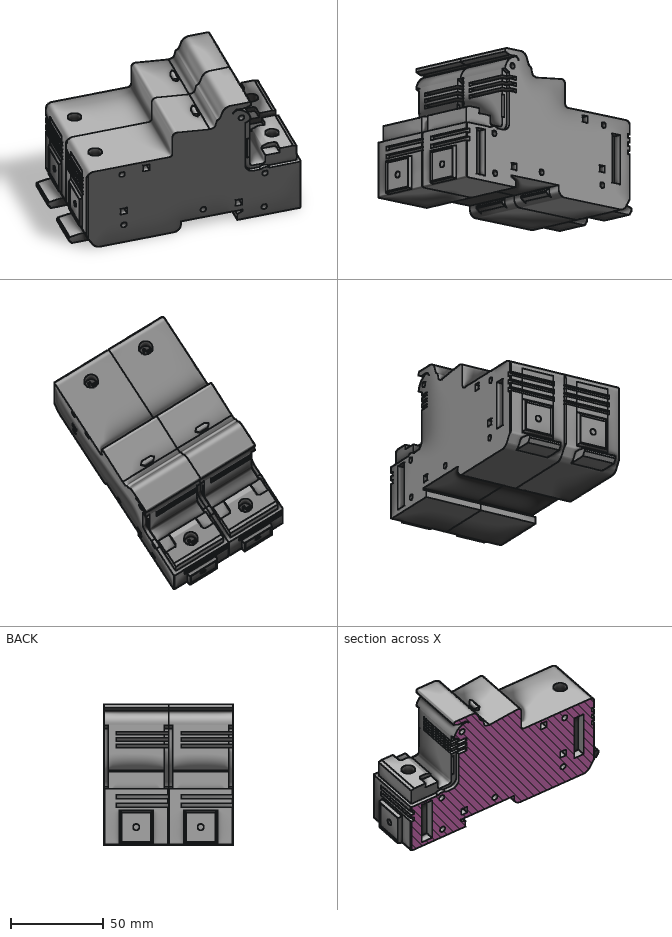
import cadquery as cq
import math


MODULE_COUNT = 2
MODULE_WIDTH = 35.0
HOUSING_DEPTH = 122.8
CENTRE_X = MODULE_WIDTH / 2

SHELF_TOP = 50.4
TOWER_FRONT = 49.1
TOWER_BACK = 94.2
HANDLE_TOP = 76.5
DRUM_BASE = 65.0
LEDGE_TOP = 30.6
RAIL_CEILING = 6.3

BLOCK_BACK = 120.9
BLOCK_FRONT = 103.1
BLOCK_TOP = 40.5
BLOCK_BEVEL_LENGTH = 2.0
BLOCK_BEVEL_DROP = 0.7
VALLEY_FLOOR = 32.6

WALL_THICKNESS = 2.3
WALL_TOWER_Y = 90.8

SIDE_RECESS_LENGTH = 1.6
SIDE_RECESS_BOTTOM = 38.5
SIDE_RECESS_TOP = 50.8
SIDE_RECESS_DEPTH = 0.1

FRONT_CHAMFER_X = 0.7
FRONT_CHAMFER_Y = 0.8
BACK_CHAMFER = 0.4

PANEL_WIDTH = 19.8
PANEL_RECESS = 0.1
PANEL_BOTTOM = 8.6
PANEL_TOP = 46.4

BUTTON_RIM = 17.5
BUTTON_LIP = 0.9
BUTTON_DISH = 0.5
BUTTON_HOLE_DIAMETER = 3.5
BUTTON_HOLE_DEPTH = 0.1
FRONT_BUTTON_Z = 18.8
FRONT_BUTTON_HEIGHT = 1.3
BACK_BUTTON_Z = 9.7
BACK_BUTTON_BASE = 18.5
BACK_BUTTON_HEIGHT = 2.4

GROOVE_REACH = 28.2
GRIP_GROOVE_HEIGHT = 2.1
GRIP_GROOVE_PITCH = 4.5
GRIP_GROOVE_DEPTH = 2.0
FRONT_GROOVE_COUNT = 3
FRONT_TOP_GROOVE_Z = 41.9
BACK_GROOVE_COUNT = 2
BACK_TOP_GROOVE_Z = 26.2
TOWER_GROOVE_COUNT = 3
TOWER_GROOVE_HEIGHT = 1.7
TOWER_GROOVE_PITCH = 3.5
TOWER_GROOVE_DEPTH = 8.5
TOWER_TOP_GROOVE_Z = 60.7

SCREW_DIAMETER = 7.5
SCREW_DEPTH = 10.6
SCREW_INSET = 10.8
CROSS_LONG = 6.1
CROSS_SHORT = 4.7
CROSS_WIDTH = 1.2
CROSS_DEPTH = 1.3

POCKET_INNER_X = 8.9
POCKET_LENGTH = 8.2
POCKET_DEPTH = 2.8
POCKET_RADIUS = 1.6

PIN_HOLE_DIAMETER = 3.2
PIN_HOLES = [(88.6, 67.2), (102.2, 27.5), (101.6, 5.5), (66.8, 11.5), (20.2, 45.0), (21.3, 11.5)]
PIN_BOSS = PIN_HOLES[1]
PIN_BOSS_RADIUS = 4.0
SQUARE_HOLE = 3.7
SQUARE_HOLES = [(87.1, 11.5), (34.2, 46.2), (21.3, 20.5)]

SIDE_SLOT_DEPTH = 4.7
SIDE_SLOTS = [(112.0, 15.8, 6.4, 25.7), (10.8, 27.7, 6.0, 27.4)]

INDICATOR_Y = 68.0
INDICATOR_Z = 64.0
INDICATOR_RADIUS = 1.6
INDICATOR_SHOULDER = 2.7
INDICATOR_TIP = 4.3

EXTRA = 1.3


def rounded_outline(corners, x=0.0):
    """Closed outline in the YZ plane at x from (y, z, corner radius) triples.

    A corner radius of zero leaves the corner sharp.
    """
    rounded = []
    count = len(corners)
    for i, (y, z, radius) in enumerate(corners):
        corner = cq.Vector(y, z, 0)
        before = cq.Vector(*corners[i - 1][:2], 0) - corner
        after = cq.Vector(*corners[(i + 1) % count][:2], 0) - corner
        if radius == 0:
            rounded.append((corner, None, corner))
            continue
        half_angle = before.getAngle(after) / 2
        tangent = radius / math.tan(half_angle)
        bisector = (before.normalized() + after.normalized()).normalized()
        start = corner + before.normalized() * tangent
        middle = corner + bisector * (radius / math.sin(half_angle) - radius)
        end = corner + after.normalized() * tangent
        rounded.append((start, middle, end))

    outline = cq.Workplane("YZ", origin=(x, 0, 0)).moveTo(*rounded[0][2].toTuple()[:2])
    for start, middle, end in rounded[1:] + rounded[:1]:
        outline = outline.lineTo(*start.toTuple()[:2])
        if middle is not None:
            outline = outline.threePointArc(middle.toTuple()[:2], end.toTuple()[:2])
    return outline.close()


def box(x_range, y_range, z_range):
    """Axis-aligned block between the given limits."""
    size = [high - low for low, high in (x_range, y_range, z_range)]
    low_corner = cq.Vector(x_range[0], y_range[0], z_range[0])
    return cq.Workplane("XY").box(*size, centered=False).translate(low_corner)


def housing():
    """Stepped side outline with handle, rear block and rail notch, over the full width."""
    corners = [
        (5.0, 0, 5.3),
        (54.0, 0, 4.4),
        (54.0, RAIL_CEILING, 0),
        (89.2, RAIL_CEILING, 0),
        (89.2, 5.3, 0),
        (86.2, 3.9, 0),
        (86.2, 0, 0),
        (HOUSING_DEPTH, 0, 1.3),
        (HOUSING_DEPTH, LEDGE_TOP, 0),
        (BLOCK_BACK, LEDGE_TOP, 0),
        (BLOCK_BACK, BLOCK_TOP - BLOCK_BEVEL_DROP, 0),
        (BLOCK_BACK - BLOCK_BEVEL_LENGTH, BLOCK_TOP, 0),
        (106.7, BLOCK_TOP, 2.0),
        (BLOCK_FRONT, 39.0, 1.0),
        (BLOCK_FRONT, VALLEY_FLOOR, 1.6),
        (TOWER_BACK, VALLEY_FLOOR, 1.9),
        (TOWER_BACK, HANDLE_TOP, 1.3),
        (78.9, HANDLE_TOP, 5.3),
        (76.3, 69.5, 3.0),
        (74.5, 68.4, 1.2),
        (73.4, 64.2, 2.0),
        (70.5, 63.6, 0),
        (TOWER_FRONT, 66.0, 2.5),
        (TOWER_FRONT, SHELF_TOP, 1.9),
        (0, SHELF_TOP, 4.0),
        (0, 7.7, 4.0),
    ]
    return rounded_outline(corners).extrude(MODULE_WIDTH)


def handle_gap():
    """Gap under the handle nose, ending in a thin slit along the drum."""
    outside = TOWER_BACK + EXTRA
    return (
        cq.Workplane("YZ")
        .moveTo(outside, DRUM_BASE)
        .lineTo(TOWER_BACK, DRUM_BASE)
        .threePointArc((91.1, 70.5), (86.0, 72.8))
        .threePointArc((84.9, 72.1), (83.8, 71.0))
        .threePointArc((84.7, 72.4), (85.9, 73.2))
        .lineTo(90.7, 73.0)
        .lineTo(TOWER_BACK, 74.4)
        .lineTo(outside, 74.4)
        .close()
        .extrude(MODULE_WIDTH)
    )


def wall_rebates():
    """Material removed above both rear side walls, leaving the pin boss standing."""
    boss_y, boss_z = PIN_BOSS
    outside = HOUSING_DEPTH + EXTRA
    corners = [
        (outside, LEDGE_TOP, 0),
        (WALL_TOWER_Y, LEDGE_TOP, 4.7),
        (WALL_TOWER_Y, 63.2, 0),
        (TOWER_BACK, DRUM_BASE, 0),
        (outside, DRUM_BASE, 0),
    ]
    rebates = cq.Workplane("YZ")
    for x in (0, MODULE_WIDTH - WALL_THICKNESS):
        rebate = rounded_outline(corners, x).extrude(WALL_THICKNESS)
        boss = (
            cq.Workplane("YZ", origin=(x, boss_y, boss_z))
            .circle(PIN_BOSS_RADIUS)
            .extrude(WALL_THICKNESS)
        )
        rebates = rebates.add(rebate.cut(boss))
    return rebates


def corner_chamfers():
    """Bevels on the upright edges of the front and back faces."""
    cutters = cq.Workplane("XY")
    for y, inward, x_leg, y_leg in (
        (0, 1, FRONT_CHAMFER_X, FRONT_CHAMFER_Y),
        (HOUSING_DEPTH, -1, BACK_CHAMFER, BACK_CHAMFER),
    ):
        for x, sideways in ((0, 1), (MODULE_WIDTH, -1)):
            triangle = [(x, y), (x + sideways * x_leg, y), (x, y + inward * y_leg)]
            cutters = cutters.add(cq.Workplane("XY").polyline(triangle).close().extrude(SHELF_TOP))
    return cutters


def front_panel():
    """Shallow recess that marks the plug panel on the front face."""
    half = PANEL_WIDTH / 2
    return box((CENTRE_X - half, CENTRE_X + half), (-EXTRA, PANEL_RECESS), (PANEL_BOTTOM, PANEL_TOP))


def button(height, base):
    """Square frustum on the XY plane with a dished face and a small centre hole."""
    body = (
        cq.Workplane("XY")
        .rect(base, base)
        .workplane(offset=height)
        .rect(BUTTON_RIM, BUTTON_RIM)
        .loft(ruled=True)
    )
    inner = BUTTON_RIM - 2 * BUTTON_LIP
    dish = (
        cq.Workplane("XY", origin=(0, 0, height))
        .rect(BUTTON_RIM, BUTTON_RIM)
        .workplane(offset=-BUTTON_DISH)
        .rect(inner, inner)
        .loft(ruled=True)
    )
    hole_floor = height - BUTTON_DISH - BUTTON_HOLE_DEPTH
    hole = cq.Workplane("XY", origin=(0, 0, hole_floor)).circle(BUTTON_HOLE_DIAMETER / 2).extrude(height)
    return body.cut(dish).cut(hole)


def front_button():
    """Button standing on the recessed front panel."""
    upright = button(FRONT_BUTTON_HEIGHT + PANEL_RECESS, PANEL_WIDTH)
    facing_front = upright.rotate((0, 0, 0), (1, 0, 0), 90)
    return facing_front.translate((CENTRE_X, PANEL_RECESS, FRONT_BUTTON_Z))


def back_button():
    """Taller button on the back face."""
    upright = button(BACK_BUTTON_HEIGHT, BACK_BUTTON_BASE)
    facing_back = upright.rotate((0, 0, 0), (1, 0, 0), -90)
    return facing_back.translate((CENTRE_X, HOUSING_DEPTH, BACK_BUTTON_Z))


def groove_row(count, top_z, pitch, height, y_range):
    """Stack of horizontal grooves open at the left side."""
    grooves = cq.Workplane("XY")
    for i in range(count):
        z = top_z - i * pitch
        grooves = grooves.add(box((0, GROOVE_REACH), y_range, (z - height / 2, z + height / 2)))
    return grooves


def front_grooves():
    """Grip grooves above the front button."""
    y_range = (-EXTRA, GRIP_GROOVE_DEPTH)
    return groove_row(FRONT_GROOVE_COUNT, FRONT_TOP_GROOVE_Z, GRIP_GROOVE_PITCH, GRIP_GROOVE_HEIGHT, y_range)


def back_grooves():
    """Grip grooves above the back button."""
    y_range = (HOUSING_DEPTH - GRIP_GROOVE_DEPTH, HOUSING_DEPTH + EXTRA)
    return groove_row(BACK_GROOVE_COUNT, BACK_TOP_GROOVE_Z, GRIP_GROOVE_PITCH, GRIP_GROOVE_HEIGHT, y_range)


def tower_grooves():
    """Deep grooves in the back of the tower below the drum."""
    y_range = (TOWER_BACK - TOWER_GROOVE_DEPTH, TOWER_BACK + EXTRA)
    return groove_row(
        TOWER_GROOVE_COUNT, TOWER_TOP_GROOVE_Z, TOWER_GROOVE_PITCH, TOWER_GROOVE_HEIGHT, y_range
    )


def terminal_screw(y, surface_z):
    """Screw well with the cross of the screw head sunk into its floor."""
    floor = cq.Workplane("XY", origin=(CENTRE_X, y, surface_z - SCREW_DEPTH))
    well = floor.circle(SCREW_DIAMETER / 2).extrude(SCREW_DEPTH)
    long_arm = floor.rect(CROSS_LONG, CROSS_WIDTH).extrude(-CROSS_DEPTH)
    short_arm = floor.rect(CROSS_WIDTH, CROSS_SHORT).extrude(-CROSS_DEPTH)
    return well.union(long_arm).union(short_arm)


def block_pocket(x_outer, x_inner):
    """Pocket in a front corner of the rear block, rounded at its inner corner."""
    y_end = BLOCK_FRONT + POCKET_LENGTH
    floor_z = BLOCK_TOP - POCKET_DEPTH
    pocket = box(sorted((x_outer, x_inner)), (BLOCK_FRONT - EXTRA, y_end), (floor_z, BLOCK_TOP))
    inner_edge = cq.selectors.NearestToPointSelector((x_inner, y_end, floor_z + POCKET_DEPTH / 2))
    return pocket.edges("|Z").edges(inner_edge).fillet(POCKET_RADIUS)


def through_holes():
    """Round and square holes through the whole width."""
    side = cq.Workplane("YZ")
    round_holes = side.pushPoints(PIN_HOLES).circle(PIN_HOLE_DIAMETER / 2).extrude(MODULE_WIDTH)
    square_holes = side.pushPoints(SQUARE_HOLES).rect(SQUARE_HOLE, SQUARE_HOLE).extrude(MODULE_WIDTH)
    return round_holes.add(square_holes)


def side_slots():
    """Upright blind slots in the left side."""
    slots = cq.Workplane("YZ")
    for y, z, width, height in SIDE_SLOTS:
        slots = slots.add(cq.Workplane("YZ").center(y, z).rect(width, height).extrude(SIDE_SLOT_DEPTH))
    return slots


def rail_clip():
    """Clip bar through the base, with a pull tab in front and a latch in the rail notch."""
    outline = [
        (5.3, 0.4), (50.8, 0.4), (54.0, 1.6), (56.1, 3.3), (56.1, 4.1), (53.7, 6.1),
        (2.7, 5.6), (-1.5, 5.6), (-7.2, 4.7), (-7.8, 4.0), (-7.8, 2.8), (-6.1, 0.4),
    ]
    start_x = CENTRE_X - PANEL_WIDTH / 2
    return cq.Workplane("YZ", origin=(start_x, 0, 0)).polyline(outline).close().extrude(PANEL_WIDTH)


def indicator():
    """Half-sunk cylinder along X whose upright ends come to a point in plan."""
    plan = [
        (-INDICATOR_TIP, 0),
        (-INDICATOR_SHOULDER, INDICATOR_RADIUS),
        (INDICATOR_SHOULDER, INDICATOR_RADIUS),
        (INDICATOR_TIP, 0),
        (INDICATOR_SHOULDER, -INDICATOR_RADIUS),
        (-INDICATOR_SHOULDER, -INDICATOR_RADIUS),
    ]
    prism = cq.Workplane("XY").polyline(plan).close().extrude(INDICATOR_RADIUS, both=True)
    cylinder = cq.Workplane("YZ").circle(INDICATOR_RADIUS).extrude(INDICATOR_TIP, both=True)
    return prism.intersect(cylinder).translate((CENTRE_X, INDICATOR_Y, INDICATOR_Z))


def tower_side_recesses():
    """Thin upright recesses at the back edge of both tower sides, above the side walls."""
    y_range = (TOWER_BACK - SIDE_RECESS_LENGTH, TOWER_BACK)
    z_range = (SIDE_RECESS_BOTTOM, SIDE_RECESS_TOP)
    inner = WALL_THICKNESS + SIDE_RECESS_DEPTH
    left = box((0, inner), y_range, z_range)
    right = box((MODULE_WIDTH - inner, MODULE_WIDTH), y_range, z_range)
    return left.add(right)


def fuse_module():
    """One complete module at the origin."""
    body = housing().cut(handle_gap())
    cutters = [
        *wall_rebates().vals(),
        *tower_side_recesses().vals(),
        *corner_chamfers().vals(),
        front_panel().val(),
        block_pocket(0, POCKET_INNER_X).val(),
        block_pocket(MODULE_WIDTH, MODULE_WIDTH - POCKET_INNER_X).val(),
        terminal_screw(SCREW_INSET, SHELF_TOP).val(),
        terminal_screw(HOUSING_DEPTH - SCREW_INSET, BLOCK_TOP).val(),
        *side_slots().vals(),
        *tower_grooves().vals(),
        *front_grooves().vals(),
        *back_grooves().vals(),
    ]
    for cutter in cutters:
        body = body.cut(cq.Workplane(cutter))
    for added in (front_button(), back_button(), rail_clip(), indicator()):
        body = body.union(added)
    for hole in through_holes().vals():
        body = body.cut(cq.Workplane(hole))
    return body


first_module = fuse_module().solids().val()
modules = [first_module.translate(cq.Vector(i * MODULE_WIDTH, 0, 0)) for i in range(MODULE_COUNT)]
result = cq.Compound.makeCompound(modules)